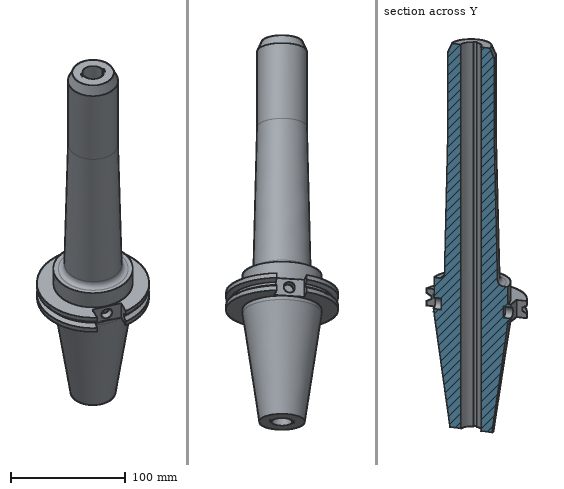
import cadquery as cq
import math

total_length = 355.5
bore_diameter = 18.5
coolant_groove_width = 3.2
coolant_groove_span = 21.5

gauge_radius = 35.0
taper_length = 101.7
taper_ratio = 7 / 24
small_end_radius = gauge_radius - taper_length * taper_ratio / 2

flange_radius = 98.5 / 2
flange_bottom = taper_length + 3.2
flange_thickness = 16.0
flange_top = flange_bottom + flange_thickness
flange_middle = flange_bottom + flange_thickness / 2
groove_depth = 4.3
groove_floor_width = 2.5
groove_wall_angle = 30.0
groove_floor_radius = flange_radius - groove_depth
groove_floor_half = groove_floor_width / 2
groove_mouth_half = groove_floor_half + groove_depth * math.tan(math.radians(groove_wall_angle))

slot_width = 26.5
shallow_slot_floor = 37.7
deep_slot_floor = 35.5
slot_hole_diameter = 10.0
slot_hole_depth = 7.0

collar_top = flange_top + 16.0
neck_fillet = 5.5
neck_base_radius = 25.2
neck_top = 276.3
nose_radius = 22.0
tip_radius = 18.0
tip_chamfer_length = 9.0


def turned_body():
    """Revolve the half outline about Z."""
    fillet_centre_r = neck_base_radius + neck_fillet
    fillet_centre_z = collar_top + neck_fillet
    arc_offset = neck_fillet * math.sqrt(0.5)
    profile = (
        cq.Workplane("XZ")
        .moveTo(0, 0)
        .lineTo(small_end_radius, 0)
        .lineTo(gauge_radius, taper_length)
        .lineTo(gauge_radius, flange_bottom)
        .lineTo(flange_radius, flange_bottom)
        .lineTo(flange_radius, flange_middle - groove_mouth_half)
        .lineTo(groove_floor_radius, flange_middle - groove_floor_half)
        .lineTo(groove_floor_radius, flange_middle + groove_floor_half)
        .lineTo(flange_radius, flange_middle + groove_mouth_half)
        .lineTo(flange_radius, flange_top)
        .lineTo(gauge_radius, flange_top)
        .lineTo(gauge_radius, collar_top)
        .lineTo(fillet_centre_r, collar_top)
        .threePointArc(
            (fillet_centre_r - arc_offset, fillet_centre_z - arc_offset),
            (neck_base_radius, fillet_centre_z),
        )
        .lineTo(nose_radius, neck_top)
        .lineTo(nose_radius, total_length - tip_chamfer_length)
        .lineTo(tip_radius, total_length)
        .lineTo(0, total_length)
        .close()
    )
    return profile.revolve(360, (0, 0, 0), (0, 1, 0))


def bore_cutter():
    """Round bore joined with the two opposite coolant grooves."""
    bore = cq.Workplane("XY").circle(bore_diameter / 2).extrude(total_length)
    grooves = cq.Workplane("XY").rect(coolant_groove_width, coolant_groove_span).extrude(total_length)
    return bore.union(grooves)


def drive_slot(side, floor_distance):
    """Cutter for one slot and its blind hole; side is -1 or +1 along X."""
    slot_length = flange_radius - floor_distance
    slot_middle = side * (floor_distance + slot_length / 2)
    slot = cq.Workplane("XY").box(slot_length, slot_width, flange_thickness)
    slot = slot.translate((slot_middle, 0, flange_middle))
    hole = (
        cq.Workplane("YZ", origin=(side * floor_distance, 0, flange_middle))
        .circle(slot_hole_diameter / 2)
        .extrude(-side * slot_hole_depth)
    )
    return slot.union(hole)


result = (
    turned_body()
    .cut(bore_cutter())
    .cut(drive_slot(-1, shallow_slot_floor))
    .cut(drive_slot(1, deep_slot_floor))
)